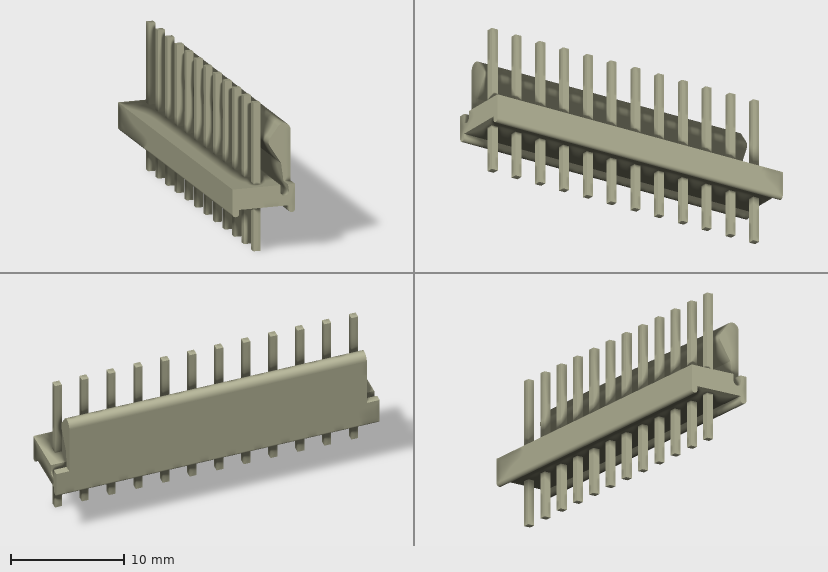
import cadquery as cq
import math


length = 30.48
depth = 5.85
body_top = 2.55
body_underside = 0.65
foot_width = 0.6
foot_round = 0.27

slot_front_setback = 1.37
slot_bottom = 1.55
slot_round = 0.4
slot_center = (slot_round - slot_front_setback, slot_bottom + slot_round)

ramp_end_gap = 1.22
ramp_top = 7.85
ramp_round = 0.65
nose_reach = 2.05
nose_height = 6.22
neck_thickness = 0.88
neck_height = 4.2
neck = (-neck_thickness, neck_height)

pin_count = 12
pin_pitch = length / pin_count
pin_size = 0.65
pin_length = 13.6
pin_below_feet = 3.57
pin_setback = 3.23


def extrude_along_x(outline, x_length):
    """Close a YZ outline and extrude it symmetrically about X = 0."""
    return outline.close().extrude(x_length / 2, both=True)


def point_on_round(center, radius, angle):
    """Point on a circle in YZ; the angle is measured from -Y toward +Z."""
    y, z = center
    return (y - radius * math.cos(angle), z + radius * math.sin(angle))


def tangent_angle(center, radius, point):
    """Angle on a circle where a line from an outside point touches it."""
    away_y = center[0] - point[0]
    away_z = point[1] - center[1]
    distance = math.hypot(away_y, away_z)
    return math.atan2(away_z, away_y) + math.acos(radius / distance)


slot_tangent = point_on_round(slot_center, slot_round, tangent_angle(slot_center, slot_round, neck))


def make_body():
    """Full-length bar with a round-tipped foot along each long edge."""
    outline = (
        cq.Workplane("YZ")
        .moveTo(0, 0)
        .lineTo(0, body_top)
        .lineTo(-depth, body_top)
        .lineTo(-depth, 0)
        .lineTo(foot_width - depth, 0)
        .lineTo(foot_width - depth, body_underside)
        .lineTo(-foot_width, body_underside)
        .lineTo(-foot_width, 0)
    )
    body = extrude_along_x(outline, length)
    return body.faces("<Z").edges("|X").fillet(foot_round)


def make_slot():
    """Round-bottomed slot along the whole body, open at the top."""
    outline = (
        cq.Workplane("YZ")
        .moveTo(*neck)
        .lineTo(*slot_tangent)
        .threePointArc((slot_center[0], slot_bottom), (-slot_front_setback, slot_center[1]))
        .lineTo(-slot_front_setback, neck_height)
    )
    return extrude_along_x(outline, length)


def make_ramp():
    """Locking ramp with a rounded crown and nose joined by tangent flanks."""
    crown = (-ramp_round, ramp_top - ramp_round)
    nose = (ramp_round - nose_reach, nose_height)

    upper_angle = math.atan2(crown[0] - nose[0], crown[1] - nose[1])
    lower_angle = tangent_angle(nose, ramp_round, neck)

    outline = (
        cq.Workplane("YZ")
        .moveTo(0, slot_tangent[1])
        .lineTo(0, crown[1])
        .threePointArc((crown[0], ramp_top), point_on_round(crown, ramp_round, upper_angle))
        .lineTo(*point_on_round(nose, ramp_round, upper_angle))
        .threePointArc((-nose_reach, nose_height), point_on_round(nose, ramp_round, lower_angle))
        .lineTo(*neck)
        .lineTo(*slot_tangent)
    )
    return extrude_along_x(outline, length - 2 * ramp_end_gap)


def make_pins():
    """Row of square pins, centered along the body and passing through it."""
    first_pin_x = -pin_pitch * (pin_count - 1) / 2
    pin_centers = [(first_pin_x + i * pin_pitch, -pin_setback) for i in range(pin_count)]
    return (
        cq.Workplane("XY")
        .workplane(offset=-pin_below_feet)
        .pushPoints(pin_centers)
        .rect(pin_size, pin_size)
        .extrude(pin_length)
    )


result = make_body().cut(make_slot()).union(make_ramp()).union(make_pins())